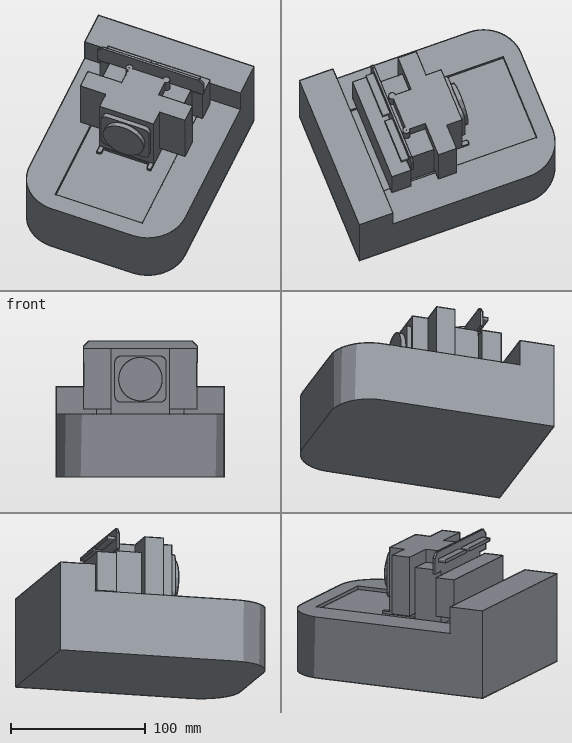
import cadquery as cq

BASE_WIDTH = 125.0
BASE_LENGTH = 165.0
BASE_HEIGHT = 46.9
BASE_CORNER_RADIUS = 30.0
WALL_HEIGHT = 67.2
WALL_THICKNESS = 26.7
POCKET_WIDTH = 70.0
POCKET_FRONT_Y = 13.4
POCKET_DEPTH = 2.6
POCKET_BACK_Y = BASE_LENGTH - WALL_THICKNESS
FLOOR_Z = BASE_HEIGHT - POCKET_DEPTH

HOUSING_TOP_Z = 95.5
HOUSING_WIDTH = 43.4
HOUSING_FRONT_Y = 67.8
WING_SPAN = 84.0
WING_BOTTOM_Z = 50.5
WING_FRONT_Y = 79.9
WING_BACK_Y = 94.4
NECK_WIDTH = 29.7
NECK_BACK_Y = 109.4
POST_RADIUS = 2.6
POST_HOLE_DIAMETER = 0.2

REAR_BOX_WIDTH = 65.3
REAR_BOX_BACK_Y = 115.8
REAR_BOX_TOP_Z = 85.6

FOOT_WIDTH = 3.5
FOOT_LENGTH = 5.8
FOOT_HEIGHT = 2.0
FOOT_CORNER_RADIUS = 1.5
LEDGE_LENGTH = 0.8

DEVICE_X = 0.2

LENS_Z = 72.8
LENS_DIAMETER = 32.3
LENS_THICKNESS = 3.6
LENS_PLATE_WIDTH = 38.3
LENS_PLATE_HEIGHT = 34.3
LENS_PLATE_THICKNESS = 3.5
LENS_PLATE_RADIUS = 5.0

BOARD_WIDTH = 85.0
BOARD_THICKNESS = 1.6
BOARD_BOTTOM_Z = 85.1
BOARD_TOP_Z = 101.1
BOARD_CHAMFER = 4.0
CONNECTOR_WIDTH = 35.0
CONNECTOR_HEIGHT = 2.5
CONNECTOR_LENGTH = 6.0
CONNECTOR_RADIUS = 0.7
CONNECTOR_GAP = 4.3
CONNECTOR_Z = 94.4

REAR_BLOCK_WIDTH = 82.2
REAR_BLOCK_LENGTH = 15.0
REAR_BLOCK_BOTTOM_Z = 52.6
REAR_BLOCK_TOP_Z = 82.2


def block(width, front_y, back_y, bottom_z, top_z, center_x=0.0):
    """Box centred on center_x, given by its front, back, bottom and top."""
    return (
        cq.Workplane("XY")
        .box(width, back_y - front_y, top_z - bottom_z, centered=(True, False, False))
        .translate((center_x, front_y, bottom_z))
    )


def front_facing(back_y, center_z):
    """Workplane on the device centre line at back_y, whose extrusions grow toward the front (-Y)."""
    return cq.Workplane("XZ", origin=(DEVICE_X, back_y, center_z))


def make_base():
    slab = block(BASE_WIDTH, 0, BASE_LENGTH, 0, BASE_HEIGHT)
    slab = slab.edges("|Z and <Y").fillet(BASE_CORNER_RADIUS)
    wall = block(BASE_WIDTH, POCKET_BACK_Y, BASE_LENGTH, 0, WALL_HEIGHT)
    pocket = block(POCKET_WIDTH, POCKET_FRONT_Y, POCKET_BACK_Y, FLOOR_Z, BASE_HEIGHT)
    return slab.union(wall).cut(pocket)


def make_housing():
    front = block(HOUSING_WIDTH, HOUSING_FRONT_Y, WING_BACK_Y, FLOOR_Z, HOUSING_TOP_Z)
    wings = block(WING_SPAN, WING_FRONT_Y, WING_BACK_Y, WING_BOTTOM_Z, HOUSING_TOP_Z)
    neck = block(NECK_WIDTH, WING_FRONT_Y, NECK_BACK_Y, FLOOR_Z, HOUSING_TOP_Z)
    rear_box = block(REAR_BOX_WIDTH, WING_BACK_Y, REAR_BOX_BACK_Y, FLOOR_Z, REAR_BOX_TOP_Z)
    housing = front.union(wings).union(neck).union(rear_box)

    post_height = HOUSING_TOP_Z - REAR_BOX_TOP_Z
    post_plane = cq.Workplane("XY", origin=(0, NECK_BACK_Y, REAR_BOX_TOP_Z))
    post_centers = [(-NECK_WIDTH / 2, 0), (NECK_WIDTH / 2, 0)]
    posts = post_plane.pushPoints(post_centers).circle(POST_RADIUS).extrude(post_height)
    hole = (
        post_plane.pushPoints(post_centers[:1])
        .circle(POST_HOLE_DIAMETER / 2)
        .extrude(post_height)
    )
    return housing.union(posts).cut(hole)


def make_feet():
    foot_front_y = HOUSING_FRONT_Y - FOOT_LENGTH
    foot_top_z = FLOOR_Z + FOOT_HEIGHT
    foot_x = (HOUSING_WIDTH - FOOT_WIDTH) / 2
    feet = block(HOUSING_WIDTH, HOUSING_FRONT_Y - LEDGE_LENGTH, HOUSING_FRONT_Y, FLOOR_Z, foot_top_z)
    for side, inner_edge in ((-1, ">X"), (1, "<X")):
        foot = block(FOOT_WIDTH, foot_front_y, HOUSING_FRONT_Y, FLOOR_Z, foot_top_z, side * foot_x)
        foot = foot.faces("<Y").edges(inner_edge).fillet(FOOT_CORNER_RADIUS)
        feet = feet.union(foot)
    return feet


def make_lens():
    plate = (
        front_facing(HOUSING_FRONT_Y, LENS_Z)
        .rect(LENS_PLATE_WIDTH, LENS_PLATE_HEIGHT)
        .extrude(LENS_PLATE_THICKNESS)
        .edges("|Y")
        .fillet(LENS_PLATE_RADIUS)
    )
    lens = (
        front_facing(HOUSING_FRONT_Y, LENS_Z)
        .circle(LENS_DIAMETER / 2)
        .extrude(LENS_PLATE_THICKNESS + LENS_THICKNESS)
    )
    return plate.union(lens)


def make_board():
    board = block(
        BOARD_WIDTH,
        REAR_BOX_BACK_Y - BOARD_THICKNESS,
        REAR_BOX_BACK_Y,
        BOARD_BOTTOM_Z,
        BOARD_TOP_Z,
        DEVICE_X,
    )
    board = board.faces(">Z").edges("|Y").chamfer(BOARD_CHAMFER)
    connector_x = (CONNECTOR_WIDTH + CONNECTOR_GAP) / 2
    connectors = (
        front_facing(REAR_BOX_BACK_Y + CONNECTOR_LENGTH, CONNECTOR_Z)
        .pushPoints([(-connector_x, 0), (connector_x, 0)])
        .rect(CONNECTOR_WIDTH, CONNECTOR_HEIGHT)
        .extrude(CONNECTOR_LENGTH)
        .edges("|Y")
        .fillet(CONNECTOR_RADIUS)
    )
    return board.union(connectors)


def make_rear_block():
    return block(
        REAR_BLOCK_WIDTH,
        REAR_BOX_BACK_Y,
        REAR_BOX_BACK_Y + REAR_BLOCK_LENGTH,
        REAR_BLOCK_BOTTOM_Z,
        REAR_BLOCK_TOP_Z,
        DEVICE_X,
    )


result = (
    make_base()
    .union(make_housing())
    .union(make_feet())
    .union(make_lens())
    .union(make_board())
    .union(make_rear_block())
)